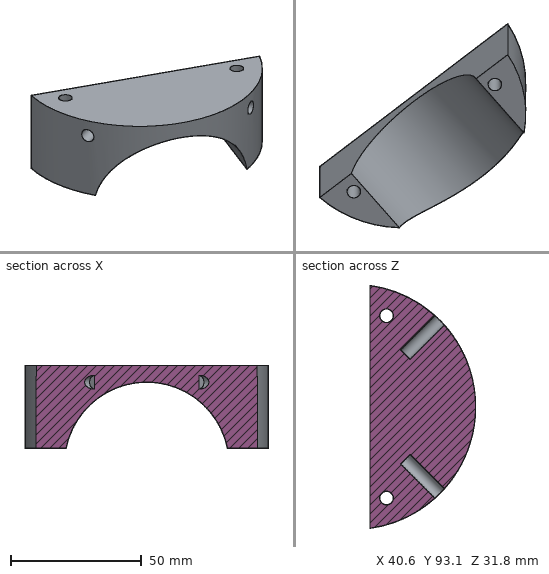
import cadquery as cq
import math

length = 93.1
depth = 40.6
height = 31.8
outer_radius = ((length / 2) ** 2 + depth**2) / (2 * depth)
disc_center_x = depth - outer_radius

arch_radius = 31.5
roof_thickness = 6.4
arch_center_z = height - roof_thickness - arch_radius

hole_diameter = 5.1
mount_hole_x = 6.4
mount_hole_spacing = 69.9
side_hole_angle = 45.0
side_hole_z = height - roof_thickness
side_hole_depth = 18.6


def disc_slice():
    half = length / 2
    return (
        cq.Workplane("XY")
        .moveTo(0, -half)
        .threePointArc((depth, 0), (0, half))
        .close()
        .extrude(height)
    )


def arch_cutter():
    return cq.Workplane("YZ").center(0, arch_center_z).circle(arch_radius).extrude(depth)


def mount_holes():
    return (
        cq.Workplane("XY")
        .pushPoints([(mount_hole_x, side * mount_hole_spacing / 2) for side in (-1, 1)])
        .circle(hole_diameter / 2)
        .extrude(height)
    )


def side_hole(side):
    """Blind hole running from the curved wall toward the disc axis."""
    angle = math.radians(side * side_hole_angle)
    outward = cq.Vector(math.cos(angle), math.sin(angle), 0)
    start = cq.Vector(disc_center_x, 0, side_hole_z) + outward * outer_radius
    return cq.Workplane(
        cq.Solid.makeCylinder(hole_diameter / 2, side_hole_depth, start, outward * -1)
    )


result = disc_slice().cut(arch_cutter()).cut(mount_holes())
for side in (-1, 1):
    result = result.cut(side_hole(side))